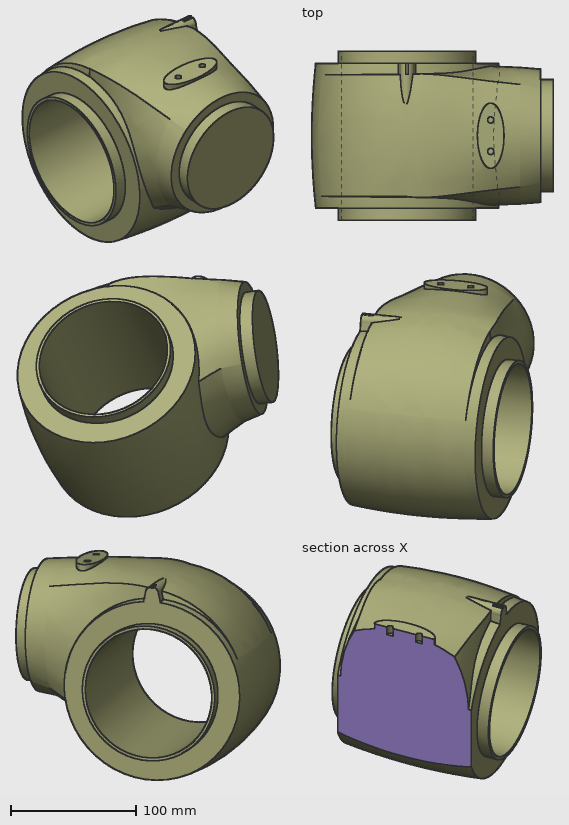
import cadquery as cq
import math

ring_crown_radius = 76.3
ring_end_radius = 73.0
ring_half_width = 57.7
spigot_radius = 55.0
spigot_length = 135.0
spigot_half_length = spigot_length / 2
bore_radius = 52.5


def ring_radius_at(y):
    """Radius of the barrel, close to a parabola across its width."""
    return ring_crown_radius - (ring_crown_radius - ring_end_radius) * (y / ring_half_width) ** 2


neck_axis_z = 34.8
neck_end_x = 106.6
neck_end_radius = 53.3
neck_spigot_radius = 45.0
part_length = 193.1
neck_spigot_end_x = part_length - ring_crown_radius

hood_start_angle = 158.3
hood_end_angle = 90.0
hood_stations = 5
hood_crown_rise = 10.5
hood_edge_rise = 7.1
hood_edge_half_width = 48.5
hood_flank_half_width = 49.2
hood_root_half_width = 49.5
hood_root_radius = 63.7
hood_root_sag = 1.0
hood_end_crown = ring_crown_radius + hood_crown_rise
hood_end_edge = ring_radius_at(hood_edge_half_width) + hood_edge_rise

neck_blend_stations = [
    (0, hood_end_crown, (hood_edge_half_width, hood_end_edge), 49.8, (48.5, -27.0), -42.5),
    (33.5, 91.0, (47.7, 84.0), 52.1, (47.7, -30.9), -40.5),
    (66.8, 91.0, (43.5, 79.8), 55.2, (43.5, -21.2), -34.0),
    (77.3, 90.4, (42.3, 78.0), 55.2, (42.3, -14.7), -27.0),
]
neck_collar_station = (90.0, 89.5, (41.0, 76.3), 54.7, (41.0, -7.0), -20.3)

pad_x = 66.8
pad_top_z = 92.3
pad_half_length = 10.6
pad_half_width = 26.0
pad_root_depth = 11.5
pad_hole_radius = 2.5
pad_hole_offset = 12.5
pad_hole_depth = 7.7

pointer_top_z = 85.2
pointer_nose_radius = 5.5
pointer_base_half_width = 7.0
pointer_base_z = 73.4
pointer_root_z = 65.7
pointer_inner_y = 19.3
slot_width = 2.0
slot_length = 8.7
slot_depth = 1.0


def cylinder_along_y(radius, half_length):
    return cq.Workplane("XZ").circle(radius).extrude(half_length, both=True)


def four_arc_wire(place, crown, edge, flank, root_edge, root):
    """Closed outline, symmetric in Y, of crown, two flanks and root.

    crown and root are heights on the centre plane; edge, flank and root_edge are
    (half width, height) points. place turns (y, height) into a point in space.
    """
    def mirror(point):
        return (-point[0], point[1])

    arcs = [
        (mirror(edge), (0, crown), edge),
        (edge, flank, root_edge),
        (root_edge, (0, root), mirror(root_edge)),
        (mirror(root_edge), mirror(flank), mirror(edge)),
    ]
    edges = [cq.Edge.makeThreePointArc(*(place(*p) for p in arc)) for arc in arcs]
    return cq.Wire.assembleEdges(edges)


def make_ring():
    profile = (
        cq.Workplane("XY")
        .moveTo(0, -ring_half_width)
        .lineTo(ring_end_radius, -ring_half_width)
        .threePointArc((ring_crown_radius, 0), (ring_end_radius, ring_half_width))
        .lineTo(0, ring_half_width)
        .close()
    )
    return profile.revolve(360, (0, 0, 0), (0, 1, 0))


def hood_section(progress):
    """Radial section; the rise grows with the square of the swept angle."""
    angle = math.radians(hood_start_angle + progress * (hood_end_angle - hood_start_angle))

    def place(y, radius):
        return cq.Vector(radius * math.cos(angle), y, radius * math.sin(angle))

    crown = ring_crown_radius + hood_crown_rise * progress**2
    edge = ring_radius_at(hood_edge_half_width) + hood_edge_rise * progress**2
    return four_arc_wire(
        place,
        crown=crown,
        edge=(hood_edge_half_width, edge),
        flank=(hood_flank_half_width, (edge + hood_root_radius) / 2),
        root_edge=(hood_root_half_width, hood_root_radius),
        root=hood_root_radius - hood_root_sag,
    )


def neck_section(x, crown, edge, flank_half_width, root_edge, root):
    return four_arc_wire(
        lambda y, z: cq.Vector(x, y, z),
        crown=crown,
        edge=edge,
        flank=(flank_half_width, neck_axis_z),
        root_edge=root_edge,
        root=root,
    )


def make_hood():
    sections = [hood_section(i / (hood_stations - 1)) for i in range(hood_stations)]
    return cq.Workplane(cq.Solid.makeLoft(sections))


def make_neck():
    """Blend from the hood, flaring into the ring below, followed by a straight-sided end."""
    blend_sections = [neck_section(*station) for station in neck_blend_stations]
    collar_section = neck_section(*neck_collar_station)
    end_corner = neck_end_radius * math.sqrt(0.5)
    end_section = neck_section(
        neck_end_x,
        neck_axis_z + neck_end_radius,
        (end_corner, neck_axis_z + end_corner),
        neck_end_radius,
        (end_corner, neck_axis_z - end_corner),
        neck_axis_z - neck_end_radius,
    )
    blend = cq.Solid.makeLoft(blend_sections + [collar_section])
    straight_end = cq.Solid.makeLoft([collar_section, end_section], True)
    return cq.Workplane(blend).union(cq.Workplane(straight_end))


def make_neck_spigot():
    return (
        cq.Workplane("YZ", origin=(neck_end_x, 0, neck_axis_z))
        .circle(neck_spigot_radius)
        .extrude(neck_spigot_end_x - neck_end_x)
    )


def make_pad():
    return (
        cq.Workplane("XY", origin=(pad_x, 0, pad_top_z))
        .ellipse(pad_half_length, pad_half_width)
        .extrude(-pad_root_depth)
    )


def make_pad_holes():
    return (
        cq.Workplane("XY", origin=(pad_x, 0, pad_top_z))
        .pushPoints([(0, pad_hole_offset), (0, -pad_hole_offset)])
        .circle(pad_hole_radius)
        .extrude(-pad_hole_depth)
    )


def make_pointer():
    nose_z = pointer_top_z - pointer_nose_radius
    profile = (
        cq.Workplane("XZ", origin=(0, ring_half_width, 0))
        .moveTo(-pointer_base_half_width, pointer_root_z)
        .lineTo(-pointer_base_half_width, pointer_base_z)
        .lineTo(-pointer_nose_radius, nose_z)
        .threePointArc((0, pointer_top_z), (pointer_nose_radius, nose_z))
        .lineTo(pointer_base_half_width, pointer_base_z)
        .lineTo(pointer_base_half_width, pointer_root_z)
        .close()
    )
    slot = cq.Workplane("XY").box(slot_width, slot_length, slot_depth, centered=(True, False, False))
    slot = slot.translate((0, ring_half_width - slot_length, pointer_top_z - slot_depth))
    return profile.extrude(ring_half_width - pointer_inner_y).cut(slot)


body = make_ring().union(make_hood()).union(make_neck())
body = body.union(cylinder_along_y(spigot_radius, spigot_half_length))
body = body.union(make_neck_spigot()).union(make_pad()).union(make_pointer())
result = body.cut(cylinder_along_y(bore_radius, spigot_half_length)).cut(make_pad_holes())